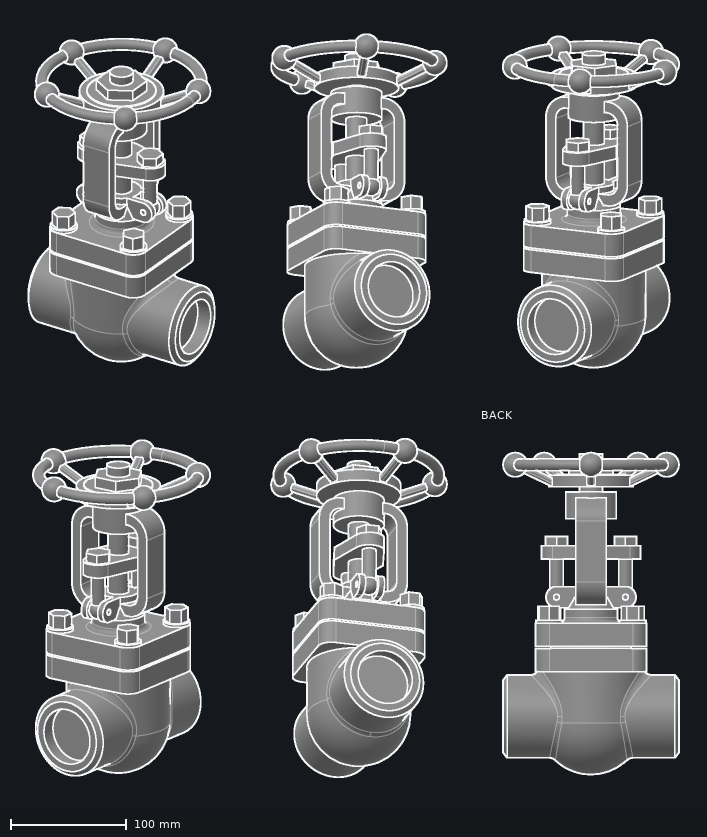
import cadquery as cq
import math


pipe_radius = 36.0
pipe_length = 152.5
bevel_length = 3.5
bevel_depth = 4.7
socket_diameter = 49.0
socket_depth = 13.5
bowl_radius = 45.0
bowl_center_z = -5.5
body_fillet = 7.2

flange_side = 96.2
flange_corner = 12.0
flange_thickness = 20.0
flange_bottom = 38.7
gasket_diameter = 70.0
gasket_thickness = 1.7
gasket_bottom = flange_bottom + flange_thickness
bonnet_bottom = gasket_bottom + gasket_thickness
bonnet_top = bonnet_bottom + flange_thickness
bolt_offset = flange_side / 2 - flange_corner
washer_diameter = 23.0
washer_thickness = 2.5
bolt_head_corners = 20.0
bolt_head_height = 12.3

neck_diameter = 46.0
neck_fillet = 5.0
neck_shoulder_z = 92.8
neck_cone_height = 11.7
neck_top_radius = 17.3
neck_top_z = 112.3
neck_radius = neck_diameter / 2

pin_x = 29.8
pin_diameter = 5.0
lug_radius = 9.2
lug_thickness = 5.5
lug_gap = 11.7
eye_bolt_diameter = 12.0
eye_ball_radius = 8.0
pin_recess = 0.3
pin_z = neck_top_z - lug_radius
lug_outer_width = lug_gap + 2 * lug_thickness
lug_length = 2 * (pin_x + lug_radius)
lug_height = 2 * lug_radius

gland_bottom = 136.0
gland_thickness = 11.7
gland_middle_width = 44.0
gland_end_radius = 13.0
gland_nut_corners = 22.3
gland_nut_height = 8.0
gland_top = gland_bottom + gland_thickness

yoke_width = 26.8
yoke_half_span = 40.0
yoke_bottom = 96.7
yoke_top = 189.0
yoke_thickness = 9.8
yoke_corner = 19.8
yoke_hub_diameter = 44.0
yoke_hub_bottom = 171.0
yoke_hub_height = 23.5
yoke_hub_top = yoke_hub_bottom + yoke_hub_height

stem_diameter = 18.0
sleeve_diameter = 20.0
sleeve_top = 227.2

wheel_z = 217.7
wheel_depth = 153.5
rim_radius = 5.0
ball_radius = 10.5
spoke_count = 5
spoke_width = 7.5
spoke_thickness = 6.5
spoke_rounding = 2.0
spoke_inner_radius = 34.5
spoke_inner_z = 202.0
wheel_hub_diameter = 73.0
wheel_hub_bottom = 198.5
wheel_hub_height = 10.0
hub_face_diameter = 60.0
hub_face_height = 0.8
wheel_nut_corners = 44.0
wheel_nut_top = 218.8
wheel_radius = (wheel_depth - rim_radius - ball_radius) / 2
wheel_hub_top = wheel_hub_bottom + wheel_hub_height


def cylinder(diameter, bottom, top, x=0, y=0):
    """Upright cylinder between two heights."""
    return cq.Workplane("XY", origin=(x, y, bottom)).circle(diameter / 2).extrude(top - bottom)


def hexagon(corners, bottom, top, x=0, y=0, turn=0):
    """Upright hexagonal prism; its corners point along X when turn is 0."""
    prism = cq.Workplane("XY").polygon(6, corners).extrude(top - bottom)
    return prism.rotate((0, 0, 0), (0, 0, 1), turn).translate((x, y, bottom))


def ball(radius, x, y, z):
    return cq.Workplane("XY", origin=(x, y, z)).sphere(radius)


def valve_body():
    """Round-bottomed bowl crossed by a pipe with bevelled ends and a blind socket at each end."""
    bowl = cylinder(2 * bowl_radius, bowl_center_z, gasket_bottom)
    bowl = bowl.union(ball(bowl_radius, 0, 0, bowl_center_z))
    pipe = cq.Workplane("YZ").circle(pipe_radius).extrude(pipe_length / 2, both=True)
    body = bowl.union(pipe).edges("%BSPLINE").fillet(body_fillet)
    body = body.faces("<X or >X").edges().chamfer(bevel_length, bevel_depth)
    for end in (-1, 1):
        socket = cq.Workplane("YZ", origin=(end * pipe_length / 2, 0, 0))
        body = body.cut(socket.circle(socket_diameter / 2).extrude(-end * socket_depth))
    return body


def square_flange(bottom):
    flange = cq.Workplane("XY", origin=(0, 0, bottom)).rect(flange_side, flange_side)
    return flange.extrude(flange_thickness).edges("|Z").fillet(flange_corner)


def flange_bolts():
    """Washer and hexagonal head at each corner; diagonal pairs are turned alike."""
    washer_top = bonnet_top + washer_thickness
    bolts = cq.Workplane("XY")
    for side_x in (-1, 1):
        for side_y in (-1, 1):
            x = side_x * bolt_offset
            y = side_y * bolt_offset
            turn = 90 if side_x == side_y else 0
            bolts = bolts.add(cylinder(washer_diameter, bonnet_top, washer_top, x, y))
            head_top = washer_top + bolt_head_height
            bolts = bolts.add(hexagon(bolt_head_corners, washer_top, head_top, x, y, turn))
    return bolts.combine()


def bonnet_neck():
    """Turned neck: filleted foot, straight collar, cone and narrow top."""
    foot_radius = neck_radius + neck_fillet
    cone_top = neck_shoulder_z + neck_cone_height
    half_profile = (
        cq.Workplane("XZ")
        .moveTo(0, bonnet_top)
        .lineTo(foot_radius, bonnet_top)
        .radiusArc((neck_radius, bonnet_top + neck_fillet), neck_fillet)
        .lineTo(neck_radius, neck_shoulder_z)
        .lineTo(neck_top_radius, cone_top)
        .lineTo(neck_top_radius, neck_top_z)
        .lineTo(0, neck_top_z)
        .close()
    )
    return half_profile.revolve(360, (0, 0, 0), (0, 1, 0))


def lugs():
    """Two parallel plates through the neck, with a round end and a pin hole on each side."""
    plane = cq.Workplane("XZ", origin=(0, 0, pin_z))
    bar = plane.slot2D(lug_length, lug_height).extrude(lug_outer_width / 2, both=True)
    gap = plane.rect(lug_length, lug_height).extrude(lug_gap / 2, both=True)
    holes = plane.pushPoints([(-pin_x, 0), (pin_x, 0)]).circle(pin_diameter / 2)
    return bar.cut(gap).cut(holes.extrude(lug_outer_width / 2, both=True))


def eye_bolt(side):
    """Rod with a ball end held between the lugs by a pin, and a nut above the gland plate."""
    x = side * pin_x
    bolt = cylinder(eye_bolt_diameter, pin_z, gland_bottom, x)
    bolt = bolt.union(ball(eye_ball_radius, x, 0, pin_z))
    pin = cq.Workplane("XZ", origin=(x, 0, pin_z)).circle(pin_diameter / 2)
    bolt = bolt.union(pin.extrude(lug_outer_width / 2 - pin_recess, both=True))
    nut = hexagon(gland_nut_corners, gland_top, gland_top + gland_nut_height, x, turn=90)
    return bolt.union(nut)


def gland_plate():
    """Diamond plate, widest in the middle, with straight sides tangent to its round ends."""
    peak = gland_middle_width / 2
    lean = math.acos(gland_end_radius / math.hypot(pin_x, peak)) - math.atan2(pin_x, peak)
    end_x = pin_x + gland_end_radius * math.sin(lean)
    end_y = gland_end_radius * math.cos(lean)
    tip_x = pin_x + gland_end_radius
    return (
        cq.Workplane("XY", origin=(0, 0, gland_bottom))
        .moveTo(0, peak)
        .lineTo(end_x, end_y)
        .threePointArc((tip_x, 0), (end_x, -end_y))
        .lineTo(0, -peak)
        .lineTo(-end_x, -end_y)
        .threePointArc((-tip_x, 0), (-end_x, end_y))
        .close()
        .extrude(gland_thickness)
    )


def yoke():
    """Rounded loop around the stem, carrying a round hub at its top."""
    height = yoke_top - yoke_bottom
    middle = cq.Workplane("XY", origin=(0, 0, (yoke_top + yoke_bottom) / 2))
    loop = middle.box(yoke_width, 2 * yoke_half_span, height).edges("|X").fillet(yoke_corner)
    window_span = 2 * (yoke_half_span - yoke_thickness)
    window = middle.box(yoke_width, window_span, height - 2 * yoke_thickness)
    loop = loop.cut(window.edges("|X").fillet(yoke_corner - yoke_thickness))
    return loop.union(cylinder(yoke_hub_diameter, yoke_hub_bottom, yoke_hub_top))


def wheel_spoke():
    """Spoke along +X, climbing from the hub to the ball on the rim."""
    run = wheel_radius - spoke_inner_radius
    climb = wheel_z - spoke_inner_z
    plane = cq.Plane((spoke_inner_radius, 0, spoke_inner_z), (0, 1, 0), (run, 0, climb))
    spoke = cq.Workplane(plane).rect(spoke_width, spoke_thickness).extrude(math.hypot(run, climb))
    spoke = spoke.faces("<Y or >Y").edges("not(<X or >X)").fillet(spoke_rounding)
    return spoke.union(ball(ball_radius, wheel_radius, 0, wheel_z))


def handwheel():
    """Stepped hub with its nut, a round rim, and spokes starting from +Y."""
    hub = cylinder(wheel_hub_diameter, wheel_hub_bottom, wheel_hub_top)
    hub = hub.union(cylinder(hub_face_diameter, wheel_hub_top, wheel_hub_top + hub_face_height))
    wheel = hub.union(hexagon(wheel_nut_corners, wheel_hub_bottom, wheel_nut_top, turn=90))
    rim = cq.Solid.makeTorus(wheel_radius, rim_radius, cq.Vector(0, 0, wheel_z))
    wheel = wheel.union(cq.Workplane(rim))
    for index in range(spoke_count):
        angle = 90 + index * 360 / spoke_count
        wheel = wheel.union(wheel_spoke().rotate((0, 0, 0), (0, 0, 1), angle))
    return wheel


result = (
    valve_body()
    .union(square_flange(flange_bottom))
    .union(cylinder(gasket_diameter, gasket_bottom, bonnet_bottom))
    .union(square_flange(bonnet_bottom))
    .union(flange_bolts())
    .union(bonnet_neck())
    .union(lugs())
    .union(yoke())
    .union(gland_plate())
    .union(eye_bolt(-1))
    .union(eye_bolt(1))
    .union(cylinder(stem_diameter, neck_top_z, yoke_hub_bottom))
    .union(cylinder(sleeve_diameter, yoke_hub_top, sleeve_top))
    .union(handwheel())
)